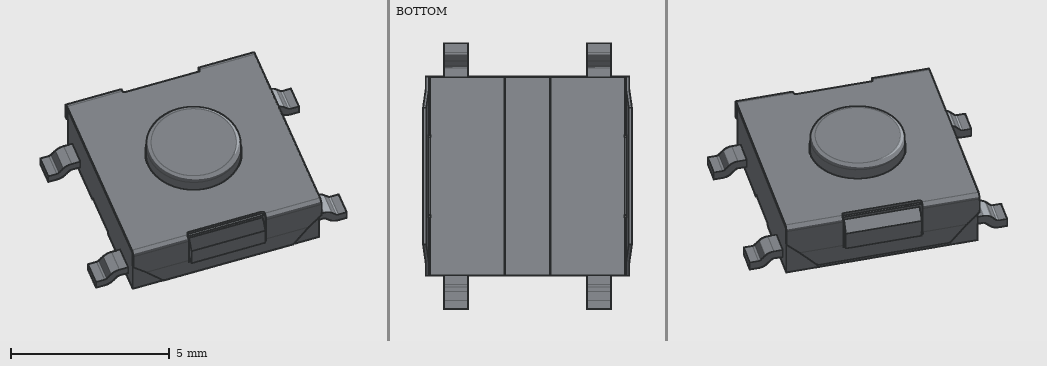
import cadquery as cq
import math


half_width = 3.3
lead_reach = 4.2
total_height = 2.5

base_width = 6.13
base_length = 6.25
base_height = 1.9
groove_depth = 0.1
groove_top_width = 1.41
groove_bottom_width = 1.48

bump_length = 2.47
bump_top = 1.8
bump_crest = 1.4
bump_bottom = 0.79

sheet = 0.1
cover_bend_radius = 0.15
cover_width = base_width + 2 * cover_bend_radius
cover_length = 6.3
cover_top = base_height + sheet
skirt_corner = 1.285
flap_bend = 0.87
flap_bottom = 0.29
flap_length = flap_bend - flap_bottom
flap_angle = math.asin((half_width - cover_width / 2) / flap_length)

window_length = 2.595
window_inner_x = 2.98
window_corner_radius = 0.08

button_diameter = 3.0
button_hole_diameter = 3.06
button_fillet = 0.15

lead_width = 0.765
lead_thickness = 0.29
lead_step = 0.29
lead_pitch = 4.51
lead_inner_radius = 0.1
lead_bend_start = 3.42
lead_bend_angle = math.radians(45)

SIDES = (-1, 1)


def mirrored_pair(body):
    """The body together with its mirror image on the other X side."""
    return body.union(body.mirror("YZ"))


def make_base():
    block = cq.Workplane("XY").box(base_width, base_length, base_height, centered=(True, True, False))

    groove = (
        cq.Workplane("XZ")
        .polyline([
            (-groove_bottom_width / 2, 0),
            (groove_bottom_width / 2, 0),
            (groove_top_width / 2, groove_depth),
            (-groove_top_width / 2, groove_depth),
        ])
        .close()
        .extrude(base_length / 2, both=True)
    )

    bump = (
        cq.Workplane("XZ")
        .polyline([
            (0, bump_bottom),
            (half_width, bump_bottom),
            (half_width, bump_crest),
            (base_width / 2, bump_top),
            (0, bump_top),
        ])
        .close()
        .extrude(bump_length / 2, both=True)
    )
    return block.cut(groove).union(mirrored_pair(bump))


def make_folded_sheet():
    """Top plate with two side skirts, each ending in an outward flap."""
    outer_x = cover_width / 2
    inner_x = outer_x - sheet
    bend_x = outer_x - cover_bend_radius
    inner_radius = cover_bend_radius - sheet
    diagonal = math.sin(math.radians(45))
    bend_z = cover_top - cover_bend_radius

    flap_outer_end = (
        outer_x + flap_length * math.sin(flap_angle),
        flap_bend - flap_length * math.cos(flap_angle),
    )
    flap_inner_end = (
        flap_outer_end[0] - sheet * math.cos(flap_angle),
        flap_outer_end[1] - sheet * math.sin(flap_angle),
    )
    inner_bend = (inner_x, flap_bend - sheet * math.tan(flap_angle / 2))

    half_profile = (
        cq.Workplane("XZ")
        .moveTo(0, cover_top)
        .lineTo(bend_x, cover_top)
        .threePointArc(
            (bend_x + cover_bend_radius * diagonal, bend_z + cover_bend_radius * diagonal),
            (outer_x, bend_z),
        )
        .lineTo(outer_x, flap_bend)
        .lineTo(*flap_outer_end)
        .lineTo(*flap_inner_end)
        .lineTo(*inner_bend)
        .lineTo(inner_x, bend_z)
        .threePointArc(
            (bend_x + inner_radius * diagonal, bend_z + inner_radius * diagonal),
            (bend_x, base_height),
        )
        .lineTo(0, base_height)
        .close()
    )
    return mirrored_pair(half_profile.extrude(cover_length / 2, both=True))


def make_cover():
    half_length = cover_length / 2
    skirt_outline = (
        cq.Workplane("YZ")
        .polyline([
            (-half_length, cover_top),
            (-half_length, skirt_corner),
            (-half_length + skirt_corner, 0),
            (half_length - skirt_corner, 0),
            (half_length, skirt_corner),
            (half_length, cover_top),
        ])
        .close()
        .extrude(half_width, both=True)
    )

    window_depth = half_width - window_inner_x
    window = (
        cq.Workplane("XY", origin=(window_inner_x + window_depth / 2, 0, bump_bottom))
        .box(window_depth, window_length, cover_top - bump_bottom, centered=(True, True, False))
        .edges("|Z and <X")
        .fillet(window_corner_radius)
    )
    button_hole = cq.Workplane("XY").circle(button_hole_diameter / 2).extrude(cover_top)

    return make_folded_sheet().intersect(skirt_outline).cut(mirrored_pair(window)).cut(button_hole)


def make_button():
    return (
        cq.Workplane("XY", origin=(0, 0, base_height))
        .circle(button_diameter / 2)
        .extrude(total_height - base_height)
        .faces(">Z")
        .edges()
        .fillet(button_fillet)
    )


def make_lead(x_side, y_side):
    """One S-bent lead that butts against the Y face of the base."""
    outer_radius = lead_inner_radius + lead_thickness
    sine = math.sin(lead_bend_angle)
    drop = 1 - math.cos(lead_bend_angle)
    half_sine = math.sin(lead_bend_angle / 2)
    half_drop = 1 - math.cos(lead_bend_angle / 2)

    bends_drop = (outer_radius + lead_inner_radius) * drop
    bends_run = (outer_radius + lead_inner_radius) * sine
    ramp_run = (lead_step - bends_drop) / math.tan(lead_bend_angle)
    bend_end = lead_bend_start + bends_run + ramp_run

    shoulder_top = lead_step + lead_thickness
    base_face = base_length / 2

    def upper_bend(radius, start_z, share_run, share_drop):
        return (lead_bend_start + radius * share_run, start_z - radius * share_drop)

    def lower_bend(radius, end_z, share_run, share_drop):
        return (bend_end - radius * share_run, end_z + radius * share_drop)

    profile = (
        cq.Workplane("YZ")
        .moveTo(base_face, shoulder_top)
        .lineTo(lead_bend_start, shoulder_top)
        .threePointArc(
            upper_bend(outer_radius, shoulder_top, half_sine, half_drop),
            upper_bend(outer_radius, shoulder_top, sine, drop),
        )
        .lineTo(*lower_bend(lead_inner_radius, lead_thickness, sine, drop))
        .threePointArc(
            lower_bend(lead_inner_radius, lead_thickness, half_sine, half_drop),
            (bend_end, lead_thickness),
        )
        .lineTo(lead_reach, lead_thickness)
        .lineTo(lead_reach, 0)
        .lineTo(bend_end, 0)
        .threePointArc(
            lower_bend(outer_radius, 0, half_sine, half_drop),
            lower_bend(outer_radius, 0, sine, drop),
        )
        .lineTo(*upper_bend(lead_inner_radius, lead_step, sine, drop))
        .threePointArc(
            upper_bend(lead_inner_radius, lead_step, half_sine, half_drop),
            (lead_bend_start, lead_step),
        )
        .lineTo(base_face, lead_step)
        .close()
    )
    lead = profile.extrude(lead_width / 2, both=True)
    if y_side < 0:
        lead = lead.mirror("XZ")
    return lead.translate((x_side * lead_pitch / 2, 0, 0))


base = make_base()
cover = make_cover()
button = make_button()
leads = [make_lead(x_side, y_side) for x_side in SIDES for y_side in SIDES]

result = cq.Compound.makeCompound([
    base.solids().val(),
    cover.solids().val(),
    button.solids().val(),
    *[lead.solids().val() for lead in leads],
])